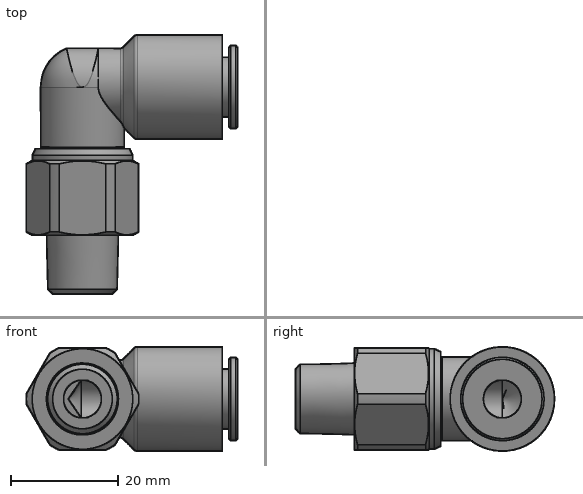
import cadquery as cq
import math


body_radius = 7.85
arm_radius = 7.25
body_bottom = -11.25

sleeve_diameter = 19.5
sleeve_radius = sleeve_diameter / 2
cone_start = 7.35
cone_base_fillet = 0.75
shoulder_fillet = 0.95
sleeve_end = 26.15
collar_radius = 5.6
flange_radius = 7.8
flange_start = 27.3
flange_end = 29.0
flange_chamfer = 0.4

neck_radius = 6.3
ring_radius = 9.4
ring_top_radius = 8.8
ring_top = -11.45
ring_edge = -12.7
hex_top = -13.7
hex_bottom = -27.7
hex_across_flats = 19.1
hex_corner_radius = 10.5
hex_face_radius = 9.4
hex_chamfer_angle = 30
thread_top_radius = 6.75
thread_tip_radius = 6.5
thread_face_radius = 5.55
overall_length = 48.4
thread_bottom = sleeve_radius - overall_length
thread_chamfer_height = 0.85

bore_radius = 3.55
drill_tip = -2.65
drill_tip_length = 2.4


def cylinder_y(radius, bottom, top):
    return cq.Workplane("XZ", origin=(0, top, 0)).circle(radius).extrude(top - bottom)


def revolve_y(points):
    """Turn a closed (radius, y) outline about the Y axis."""
    return cq.Workplane("XY").polyline(points).close().revolve(360, (0, 0), (0, 1))


def revolve_x(points):
    """Turn a closed (x, radius) outline about the X axis."""
    return cq.Workplane("XY").polyline(points).close().revolve(360, (0, 0), (1, 0))


def make_elbow():
    """Upright cylinder whose rounded top is flattened to the height of the arm."""
    diagonal = body_radius * math.sqrt(0.5)
    rounded_post = (
        cq.Workplane("XY")
        .moveTo(0, body_bottom)
        .lineTo(body_radius, body_bottom)
        .lineTo(body_radius, 0)
        .threePointArc((diagonal, diagonal), (0, body_radius))
        .close()
        .revolve(360, (0, 0), (0, 1))
    )
    block_size = 4 * body_radius
    above_crown = (
        cq.Workplane("YZ", origin=(-block_size / 2, 0, 0))
        .moveTo(0, -body_radius)
        .threePointArc((arm_radius, 0), (0, body_radius))
        .lineTo(0, block_size / 2)
        .lineTo(block_size / 2, block_size / 2)
        .lineTo(block_size / 2, -block_size / 2)
        .lineTo(0, -block_size / 2)
        .close()
        .extrude(block_size)
    )
    return rounded_post.cut(above_crown)


def make_arm():
    """Side arm, 45 degree coned sleeve and flanged release collar."""
    cone_end = cone_start + sleeve_radius - arm_radius
    base_reach = cone_base_fillet * math.tan(math.radians(22.5))
    shoulder_reach = shoulder_fillet * math.tan(math.radians(22.5))
    base_leg = base_reach * math.sqrt(0.5)
    shoulder_leg = shoulder_reach * math.sqrt(0.5)
    return (
        cq.Workplane("XY")
        .lineTo(0, arm_radius)
        .lineTo(cone_start - base_reach, arm_radius)
        .tangentArcPoint((cone_start + base_leg, arm_radius + base_leg), relative=False)
        .lineTo(cone_end - shoulder_leg, sleeve_radius - shoulder_leg)
        .tangentArcPoint((cone_end + shoulder_reach, sleeve_radius), relative=False)
        .lineTo(sleeve_end, sleeve_radius)
        .lineTo(sleeve_end, collar_radius)
        .lineTo(flange_start, collar_radius)
        .lineTo(flange_start, flange_radius - flange_chamfer)
        .lineTo(flange_start + flange_chamfer, flange_radius)
        .lineTo(flange_end - flange_chamfer, flange_radius)
        .lineTo(flange_end, flange_radius - flange_chamfer)
        .lineTo(flange_end, 0)
        .close()
        .revolve(360, (0, 0), (1, 0))
    )


def make_ring():
    """Swivel ring, separated from the elbow by a narrow neck."""
    neck = cylinder_y(neck_radius, ring_top, body_bottom)
    ring = revolve_y([
        (0, hex_top),
        (ring_radius, hex_top),
        (ring_radius, ring_edge),
        (ring_top_radius, ring_top),
        (0, ring_top),
    ])
    return ring.union(neck)


def make_hexagon():
    """Hexagon with flats facing +Z and -Z, its corners turned and chamfered."""
    corner_to_corner = hex_across_flats / math.cos(math.radians(30))
    prism = (
        cq.Workplane("XZ", origin=(0, hex_top, 0))
        .polygon(6, corner_to_corner)
        .extrude(hex_top - hex_bottom)
    )
    chamfer = (hex_corner_radius - hex_face_radius) * math.tan(math.radians(hex_chamfer_angle))
    turned_blank = revolve_y([
        (0, hex_bottom),
        (hex_face_radius, hex_bottom),
        (hex_corner_radius, hex_bottom + chamfer),
        (hex_corner_radius, hex_top - chamfer),
        (hex_face_radius, hex_top),
        (0, hex_top),
    ])
    return prism.intersect(turned_blank)


def make_thread():
    """Plain tapered envelope of the thread, with a chamfered tip."""
    return revolve_y([
        (0, hex_bottom),
        (thread_top_radius, hex_bottom),
        (thread_tip_radius, thread_bottom + thread_chamfer_height),
        (thread_face_radius, thread_bottom),
        (0, thread_bottom),
    ])


def make_passage():
    """Stem bore meeting the arm bore, which ends in a drill point."""
    stem_bore = cylinder_y(bore_radius, thread_bottom, 0)
    arm_bore = revolve_x([
        (drill_tip, 0),
        (drill_tip + drill_tip_length, bore_radius),
        (flange_end, bore_radius),
        (flange_end, 0),
    ])
    return stem_bore.union(arm_bore)


result = (
    make_elbow()
    .union(make_arm())
    .union(make_ring())
    .union(make_hexagon())
    .union(make_thread())
    .cut(make_passage())
)